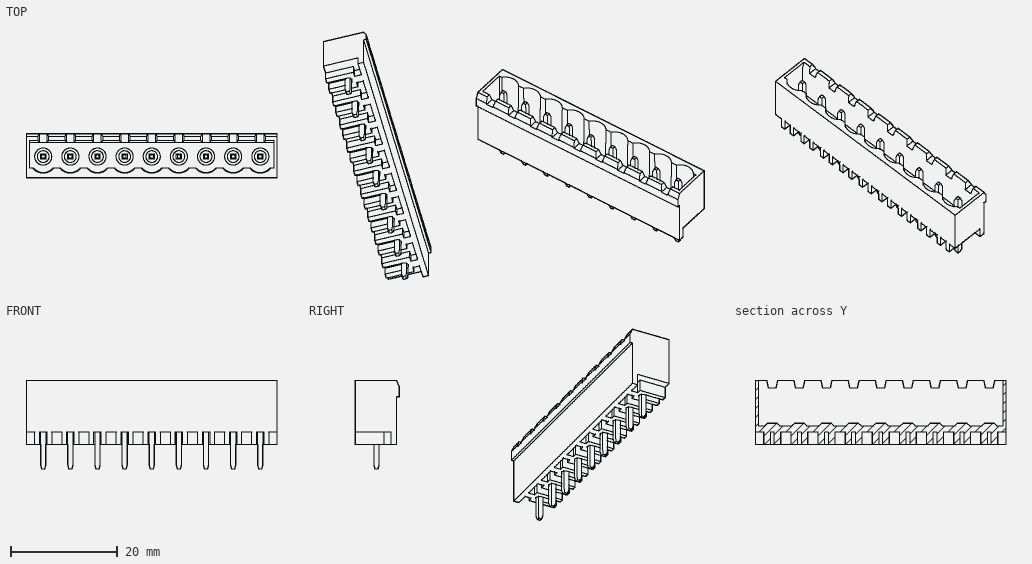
import cadquery as cq


pin_count = 9
pitch = 5.08
pin_size = 1.0
pin_tip_size = 0.6
pin_tip_length = 0.75
pin_bottom = -4.6
pin_top = 10.95
pin_xs = [(i - (pin_count - 1) / 2) * pitch for i in range(pin_count)]

length = 46.92
height = 12.0
front_y = -4.0
back_y = 3.8
end_x = length / 2

ledge_reach = 0.5
ledge_bottom = 8.9
ledge_slope_height = 1.2

end_wall = 0.6
front_wall = 1.85
back_wall = 1.15
cavity_floor = 3.5
scallop_center_y = -0.6
scallop_top_radius = 2.5
scallop_floor_radius = 2.4
cavity_front_y = front_y + front_wall
cavity_back_y = back_y - back_wall

notch_depth = 1.4
notch_floor_width = 1.4
notch_top_width = 2.0
lip_slope_width = 0.4
notch_floor = height - notch_depth

cone_base_diameter = 3.2
cone_top_diameter = 2.2
cone_height = 0.5

standoff = 2.3
foot_width = 3.2
foot_back_y = 1.4
pin_slot_width = 1.4
web_width = 1.4
back_leg_thickness = 1.1


def box(x_min, x_max, y_min, y_max, z_min, z_max):
    """Block between the given limits."""
    size = (x_max - x_min, y_max - y_min, z_max - z_min)
    return cq.Workplane("XY").box(*size, centered=False).translate((x_min, y_min, z_min))


def along_x(profile):
    """Extrude a (Y, Z) profile over the full housing length."""
    return cq.Workplane("YZ", origin=(-end_x, 0, 0)).polyline(profile).close().extrude(length)


def shell():
    """Housing block with the sloped ledge on its back edge."""
    ledge_y = back_y + ledge_reach
    return along_x([
        (front_y, standoff),
        (front_y, height),
        (back_y, height),
        (ledge_y, height - ledge_slope_height),
        (ledge_y, ledge_bottom),
        (back_y, ledge_bottom),
        (back_y, standoff),
    ])


def cavity():
    """Open-topped pocket between the walls."""
    inner_x = end_x - end_wall
    return box(-inner_x, inner_x, cavity_front_y, cavity_back_y, cavity_floor, height)


def scallop(x):
    """Slightly tapered round recess that hollows the front wall at the pin at x."""
    base = cq.Workplane("XY", origin=(x, scallop_center_y, cavity_floor)).circle(scallop_floor_radius)
    return base.workplane(offset=height - cavity_floor).circle(scallop_top_radius).loft()


def lip_slope():
    """Wedge that bevels the inner top edge of the back wall between the end walls."""
    inner_x = end_x - end_wall
    profile = [
        (cavity_back_y, notch_floor),
        (cavity_back_y + lip_slope_width, height),
        (cavity_back_y, height),
    ]
    wedge = cq.Workplane("YZ", origin=(-inner_x, 0, 0)).polyline(profile).close()
    return wedge.extrude(2 * inner_x)


def notch(x):
    """Flared notch through the back wall behind the pin at x."""
    notch_length = back_y + ledge_reach - cavity_back_y
    profile = [
        (x - notch_floor_width / 2, notch_floor),
        (x + notch_floor_width / 2, notch_floor),
        (x + notch_top_width / 2, height),
        (x - notch_top_width / 2, height),
    ]
    start = cq.Workplane("XZ", origin=(0, cavity_back_y, 0))
    return start.polyline(profile).close().extrude(-notch_length)


def foot(x):
    """Standoff foot at x, slotted around the pin and tied to the back leg by a web."""
    body = box(x - foot_width / 2, x + foot_width / 2, front_y, foot_back_y, 0, standoff)
    half_slot = pin_slot_width / 2
    slot = box(x - half_slot, x + half_slot, front_y, 0, 0, standoff)
    slot = slot.union(cq.Workplane("XY").center(x, 0).circle(half_slot).extrude(standoff))
    web = box(x - web_width / 2, x + web_width / 2, foot_back_y, back_y, 0, standoff)
    return body.cut(slot).union(web)


def cone(x):
    """Truncated cone on the cavity floor around the pin at x."""
    base = cq.Workplane("XY", origin=(x, 0, cavity_floor)).circle(cone_base_diameter / 2)
    return base.workplane(offset=cone_height).circle(cone_top_diameter / 2).loft()


def pin_tip(x, shoulder_z, end_z):
    """Square taper from the pin body at shoulder_z to the tip at end_z."""
    base = cq.Workplane("XY", origin=(x, 0, shoulder_z)).rect(pin_size, pin_size)
    return base.workplane(offset=end_z - shoulder_z).rect(pin_tip_size, pin_tip_size).loft()


def pin(x):
    """Square pin at x with both ends tapered."""
    half = pin_size / 2
    lower_shoulder = pin_bottom + pin_tip_length
    upper_shoulder = pin_top - pin_tip_length
    body = box(x - half, x + half, -half, half, lower_shoulder, upper_shoulder)
    body = body.union(pin_tip(x, lower_shoulder, pin_bottom))
    return body.union(pin_tip(x, upper_shoulder, pin_top))


result = shell().cut(cavity()).cut(lip_slope())
result = result.union(box(-end_x, end_x, back_y - back_leg_thickness, back_y, 0, standoff))
for pin_x in pin_xs:
    result = result.cut(notch(pin_x)).cut(scallop(pin_x))
for pin_x in pin_xs:
    result = result.union(foot(pin_x)).union(cone(pin_x)).union(pin(pin_x))